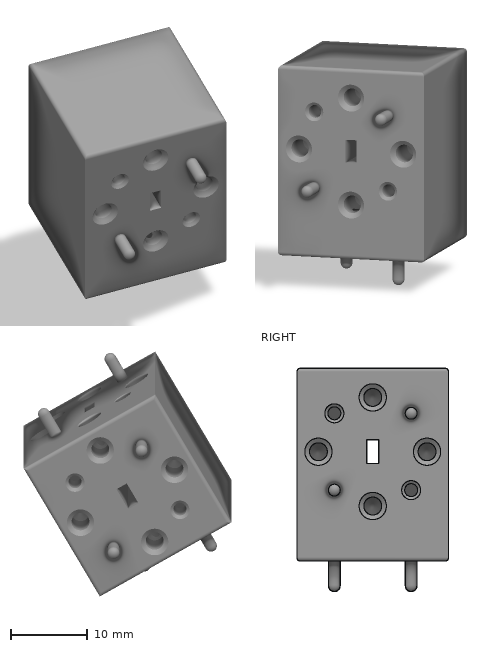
import cadquery as cq
import math

block_width = 20.0
block_height = 25.4
top_above_axis = 11.0
bottom_z = top_above_axis - block_height
edge_radius = 0.5

pattern_radius = 7.15
diagonal_offset = pattern_radius / math.sqrt(2)

pin_diameter = 1.55
pin_length = 4.0

pin_hole_diameter = 1.7
pin_hole_rim = 2.5
pin_hole_depth = 4.5

screw_hole_diameter = 2.35
screw_hole_rim = 3.6
screw_hole_depth = 5.88
drill_point_angle = 118.0

countersink_angle = 90.0

channel_long = 3.1
channel_short = 1.55


def make_block():
    block = (
        cq.Workplane("XY")
        .workplane(offset=bottom_z)
        .rect(block_width, block_width)
        .extrude(block_height)
    )
    return block.faces("|Z").edges().fillet(edge_radius)


def revolve_profile(profile):
    """Turn a closed (radius, height) profile about the local Z axis."""
    return profile.close().revolve(360, (0, 0), (0, 1))


def make_pin():
    radius = pin_diameter / 2
    shoulder = pin_length - radius
    dome_middle = radius * math.sqrt(0.5)
    profile = (
        cq.Workplane("XZ")
        .moveTo(0, -radius)
        .lineTo(radius, -radius)
        .lineTo(radius, shoulder)
        .threePointArc((dome_middle, shoulder + dome_middle), (0, pin_length))
    )
    return revolve_profile(profile)


def make_hole(diameter, rim, depth, point_depth):
    """Cutter for a countersunk blind hole, sunk below the local Z = 0 plane."""
    radius = diameter / 2
    countersink_depth = (rim - diameter) / 2 / math.tan(math.radians(countersink_angle / 2))
    profile = (
        cq.Workplane("XZ")
        .moveTo(0, 0)
        .lineTo(rim / 2, 0)
        .lineTo(radius, -countersink_depth)
        .lineTo(radius, -depth)
        .lineTo(0, -depth - point_depth)
    )
    return revolve_profile(profile)


def make_channel(length):
    return cq.Workplane("XY").rect(channel_short, channel_long).extrude(-length)


def place(tool, face, x, y):
    """Move a tool built on the local Z axis to (x, y) on a flange face."""
    return tool.translate((x, y, 0)).val().moved(cq.Location(face))


def add_flange(body, face, axis_distance):
    """Cut and fit one flange; the channel runs in as far as the block axis."""
    point_depth = screw_hole_diameter / 2 / math.tan(math.radians(drill_point_angle / 2))
    screw_hole = make_hole(screw_hole_diameter, screw_hole_rim, screw_hole_depth, point_depth)
    pin_hole = make_hole(pin_hole_diameter, pin_hole_rim, pin_hole_depth, 0)

    body = body.cut(place(make_channel(axis_distance), face, 0, 0))
    for x, y in ((1, 0), (0, 1), (-1, 0), (0, -1)):
        body = body.cut(place(screw_hole, face, x * pattern_radius, y * pattern_radius))
    for side in (1, -1):
        offset = side * diagonal_offset
        body = body.cut(place(pin_hole, face, offset, -offset))
        body = body.union(place(make_pin(), face, offset, offset))
    return body


half_width = block_width / 2
left_face = cq.Plane(origin=(-half_width, 0, 0), xDir=(0, -1, 0), normal=(-1, 0, 0))
right_face = cq.Plane(origin=(half_width, 0, 0), xDir=(0, 1, 0), normal=(1, 0, 0))
bottom_face = cq.Plane(origin=(0, 0, bottom_z), xDir=(0, -1, 0), normal=(0, 0, -1))

result = make_block()
result = add_flange(result, left_face, half_width)
result = add_flange(result, right_face, half_width)
result = add_flange(result, bottom_face, -bottom_z)